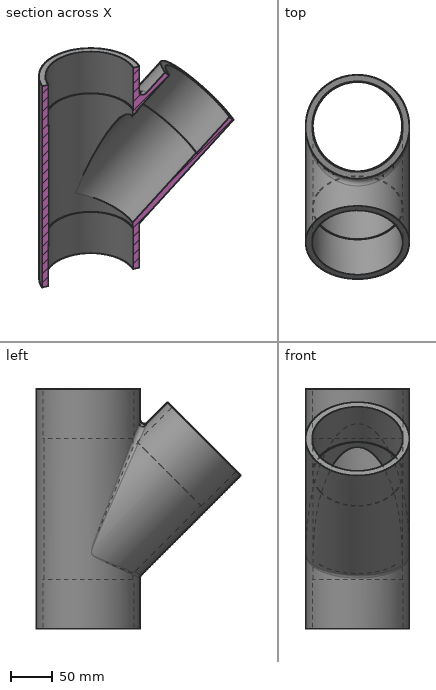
import cadquery as cq
import math

RUN_OUTER_DIAMETER = 126.0
BRANCH_OUTER_DIAMETER = 125.8
BORE_DIAMETER = 108.0
SOCKET_DIAMETER = 110.0
SOCKET_DEPTH = 60.0

RUN_LENGTH = 291.0

BRANCH_ANGLE = 45.0
BRANCH_START_HEIGHT = 90.0
BRANCH_REACH = 184.97

SEAM_RADIUS = 5.0

lean = math.radians(BRANCH_ANGLE)
mouth_half_width = BRANCH_OUTER_DIAMETER / 2 * math.cos(lean)
branch_length = (BRANCH_REACH - mouth_half_width) / math.sin(lean)

run_plane = cq.Plane.XY()
branch_plane = cq.Plane(
    origin=(0, 0, BRANCH_START_HEIGHT),
    xDir=(1, 0, 0),
    normal=(0, -math.sin(lean), math.cos(lean)),
)


def cylinder(plane, diameter, start, end):
    """Round bar along the plane normal, between two distances from its origin."""
    return cq.Workplane(plane).workplane(offset=start).circle(diameter / 2).extrude(end - start)


def blended_body():
    """Solid run and branch, joined with a rounded seam."""
    run = cylinder(run_plane, RUN_OUTER_DIAMETER, 0, RUN_LENGTH)
    branch = cylinder(branch_plane, BRANCH_OUTER_DIAMETER, 0, branch_length)
    return run.union(branch).edges("not (%CIRCLE or %LINE)").fillet(SEAM_RADIUS)


def passages():
    """Bores through the run and branch, with a wider socket at each open end."""
    run_bore = cylinder(run_plane, BORE_DIAMETER, 0, RUN_LENGTH)
    branch_bore = cylinder(branch_plane, BORE_DIAMETER, 0, branch_length)
    sockets = [
        cylinder(run_plane, SOCKET_DIAMETER, 0, SOCKET_DEPTH),
        cylinder(run_plane, SOCKET_DIAMETER, RUN_LENGTH - SOCKET_DEPTH, RUN_LENGTH),
        cylinder(branch_plane, SOCKET_DIAMETER, branch_length - SOCKET_DEPTH, branch_length),
    ]
    hollow = run_bore.union(branch_bore)
    for socket in sockets:
        hollow = hollow.union(socket)
    return hollow


result = blended_body().cut(passages())